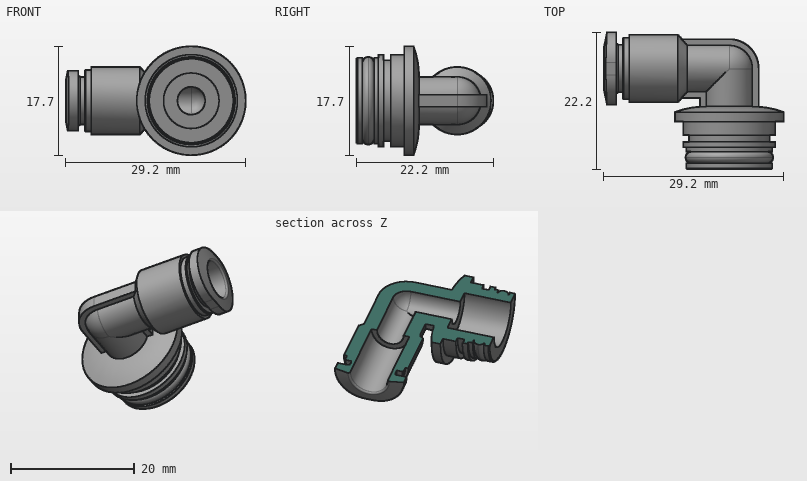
import cadquery as cq
import math


overall_length = 29.15
flange_dia = 17.7

mouth_face = overall_length - flange_dia / 2
collar_back = 18.27
neck_start = 18.0
ring_front = 17.28
ring_chamfer = 0.17
socket_front = 16.23
socket_back = 8.33
socket_cone_end = 6.8

neck_dia = 7.75
neck_root_dia = 8.22
ring_dia = 10.0
socket_dia = 11.0
elbow_dia = 7.75
passage_dia = 4.5
tube_bore_dia = 6.35
mouth_dia = 7.0
lip_radius = (mouth_dia - tube_bore_dia) / 2
tube_bore_depth = 11.65

collar_thickness = 9.8
collar_center_offset = 1.0
collar_length = collar_thickness + 2 * collar_center_offset
collar_face_slope = 0.2

dome_top = 6.15
flange_top = 7.05
flange_bottom = 8.6
clip_groove_top = 10.78
clip_groove_bottom = 11.9
shoulder_bottom = 12.75
seal_groove_top = 13.45
seal_groove_bottom = 15.33
plug_end = 16.32
plug_chamfer = 0.2

shoulder_dia = 14.95
clip_groove_dia = 13.15
plug_dia = 14.0
seal_groove_dia = 12.25
seal_outer_dia = 14.22
seal_section_dia = seal_groove_bottom - seal_groove_top
plug_bore_dia = 9.0
plug_bore_depth = 7.87
dome_flat_radius = elbow_dia / 2

web_reach = 4.78
web_thickness = 1.98


def revolve_x(points):
    """Revolve (distance toward -X, radius) points about the X axis."""
    profile = [(-distance, radius) for distance, radius in points]
    return cq.Workplane("XY").polyline(profile).close().revolve(360, (0, 0), (1, 0))


def bar_x(diameter, start, end):
    radius = diameter / 2
    return revolve_x([(start, 0), (end, 0), (end, radius), (start, radius)])


def bar_y(diameter, start, end):
    """Cylinder between two distances toward -Y."""
    return cq.Workplane("XZ", origin=(0, -start, 0)).circle(diameter / 2).extrude(end - start)


def make_collar():
    thickness_x = mouth_face - collar_back
    oblong = (
        cq.Workplane("YZ", origin=(-mouth_face, 0, 0))
        .slot2D(collar_length, collar_thickness)
        .extrude(thickness_x)
    )
    rim_radius = collar_length / 2 + collar_center_offset
    rim_face = mouth_face - collar_face_slope * (rim_radius - mouth_dia / 2)
    cone = revolve_x([
        (collar_back, 0),
        (mouth_face, 0),
        (mouth_face, mouth_dia / 2),
        (rim_face, rim_radius),
        (collar_back, rim_radius),
    ])
    return oblong.intersect(cone)


def make_tube_port():
    return revolve_x([
        (0, 0),
        (collar_back, 0),
        (collar_back, neck_root_dia / 2),
        (neck_start, neck_dia / 2),
        (ring_front, neck_dia / 2),
        (ring_front, ring_dia / 2 - ring_chamfer),
        (ring_front - ring_chamfer, ring_dia / 2),
        (socket_front, ring_dia / 2),
        (socket_front, socket_dia / 2),
        (socket_back, socket_dia / 2),
        (socket_cone_end, elbow_dia / 2),
        (0, elbow_dia / 2),
    ])


def make_plug_port():
    run = flange_dia / 2 - dome_flat_radius
    drop = flange_top - dome_top
    dome_radius = (run**2 + drop**2) / (2 * drop)
    mid_radius = dome_flat_radius + run / 2
    mid_dome = dome_top + dome_radius - math.sqrt(dome_radius**2 - (run / 2) ** 2)
    outline = (
        cq.Workplane("XY")
        .moveTo(0, -dome_top)
        .lineTo(dome_flat_radius, -dome_top)
        .threePointArc((mid_radius, -mid_dome), (flange_dia / 2, -flange_top))
    )
    steps = [
        (flange_dia, flange_bottom),
        (shoulder_dia, flange_bottom),
        (shoulder_dia, clip_groove_top),
        (clip_groove_dia, clip_groove_top),
        (clip_groove_dia, clip_groove_bottom),
        (shoulder_dia, clip_groove_bottom),
        (shoulder_dia, shoulder_bottom),
        (plug_dia, shoulder_bottom),
        (plug_dia, seal_groove_top),
        (seal_groove_dia, seal_groove_top),
        (seal_groove_dia, seal_groove_bottom),
        (plug_dia, seal_groove_bottom),
        (plug_dia, plug_end - plug_chamfer),
        (plug_dia - 2 * plug_chamfer, plug_end),
        (0, plug_end),
    ]
    for diameter, distance in steps:
        outline = outline.lineTo(diameter / 2, -distance)
    return outline.close().revolve(360, (0, 0), (0, 1))


def make_seal():
    section_radius = seal_section_dia / 2
    ring_radius = seal_outer_dia / 2 - section_radius
    seal_center = (seal_groove_top + seal_groove_bottom) / 2
    return (
        cq.Workplane("XY")
        .center(ring_radius, -seal_center)
        .circle(section_radius)
        .revolve(360, (-ring_radius, 0), (-ring_radius, 1))
    )


def make_web():
    corner = web_reach * math.sqrt(0.5)
    return (
        cq.Workplane("XY", origin=(0, 0, -web_thickness / 2))
        .moveTo(-socket_back, web_reach)
        .lineTo(0, web_reach)
        .threePointArc((corner, corner), (web_reach, 0))
        .lineTo(web_reach, -flange_top)
        .lineTo(-web_reach, -flange_top)
        .lineTo(-web_reach, -web_reach)
        .lineTo(-socket_back, -web_reach)
        .close()
        .extrude(web_thickness)
    )


def make_passages():
    bore_end = mouth_face - tube_bore_depth
    bore_radius = tube_bore_dia / 2
    lip_start = mouth_face - lip_radius
    lip_middle = lip_radius * math.sqrt(0.5)
    tube_bore = (
        cq.Workplane("XY")
        .moveTo(-bore_end, 0)
        .lineTo(-bore_end, bore_radius)
        .lineTo(-lip_start, bore_radius)
        .threePointArc(
            (-lip_start - lip_middle, mouth_dia / 2 - lip_middle),
            (-mouth_face, mouth_dia / 2),
        )
        .lineTo(-mouth_face, 0)
        .close()
        .revolve(360, (0, 0), (1, 0))
    )
    return (
        cq.Workplane("XY")
        .sphere(passage_dia / 2)
        .union(bar_x(passage_dia, 0, mouth_face))
        .union(bar_y(passage_dia, 0, plug_end))
        .union(tube_bore)
        .union(bar_y(plug_bore_dia, plug_end - plug_bore_depth, plug_end))
    )


result = (
    make_tube_port()
    .union(make_collar())
    .union(cq.Workplane("XY").sphere(elbow_dia / 2))
    .union(bar_y(elbow_dia, 0, flange_top))
    .union(make_web())
    .union(make_plug_port())
    .union(make_seal())
    .cut(make_passages())
)